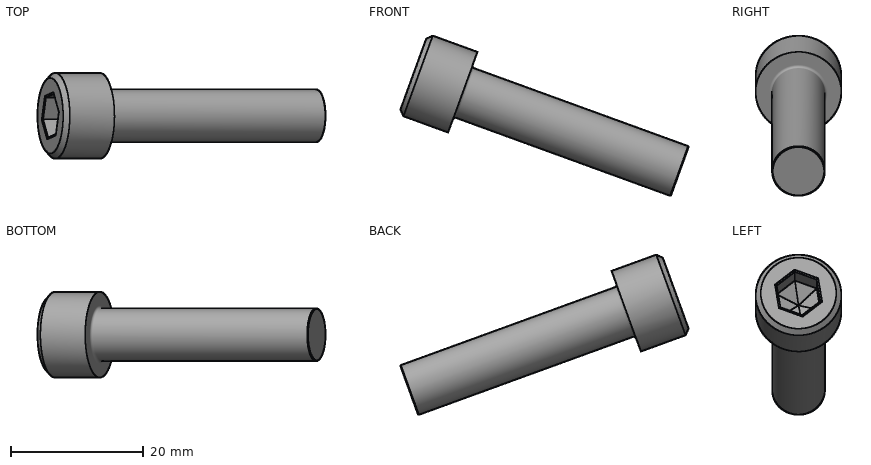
import cadquery as cq
import math

head_radius = 6.5
head_height = 8.0
head_chamfer = 0.8
shank_radius = 4.0
shank_length = 34.95
tip_chamfer = 0.15
neck_fillet = 0.4
tilt_angle = 20

socket_flats = 6.1
mouth_flats = 6.65
mouth_depth = 0.15
wall_depth = 4.0
apex_depth = 5.45
socket_turn = 9

hex_sides = 6


def make_body():
    total_length = head_height + shank_length
    profile = (
        cq.Workplane("XY")
        .lineTo(0, head_radius - head_chamfer)
        .lineTo(head_chamfer, head_radius)
        .lineTo(head_height, head_radius)
        .lineTo(head_height, shank_radius + neck_fillet)
        .radiusArc((head_height + neck_fillet, shank_radius), -neck_fillet)
        .lineTo(total_length - tip_chamfer, shank_radius)
        .lineTo(total_length, shank_radius - tip_chamfer)
        .lineTo(total_length, 0)
        .close()
    )
    return profile.revolve(360, (0, 0, 0), (1, 0, 0))


def hex_ring(depth, flats):
    """Corners of a hexagon lying across the screw axis."""
    corner_radius = flats / 2 / math.cos(math.pi / hex_sides)
    corners = []
    for i in range(hex_sides):
        angle = math.radians(socket_turn + i * 360 / hex_sides)
        y = corner_radius * math.sin(angle)
        z = corner_radius * math.cos(angle)
        corners.append(cq.Vector(depth, y, z))
    return corners


def flat_face(points):
    return cq.Face.makeFromWires(cq.Wire.makePolygon(points, close=True))


def make_socket():
    """Solid filling the socket, bounded by flat faces from mouth to apex."""
    mouth = hex_ring(0, mouth_flats)
    throat = hex_ring(mouth_depth, socket_flats)
    floor = hex_ring(wall_depth, socket_flats)
    apex = cq.Vector(apex_depth, 0, 0)

    faces = [flat_face(mouth)]
    for i in range(hex_sides):
        j = (i + 1) % hex_sides
        faces.append(flat_face([mouth[i], mouth[j], throat[j], throat[i]]))
        faces.append(flat_face([throat[i], throat[j], floor[j], floor[i]]))
        faces.append(flat_face([floor[i], floor[j], apex]))
    return cq.Solid.makeSolid(cq.Shell.makeShell(faces))


screw = make_body().cut(cq.Workplane(make_socket()))
result = screw.rotate((0, 0, 0), (0, 1, 0), tilt_angle)